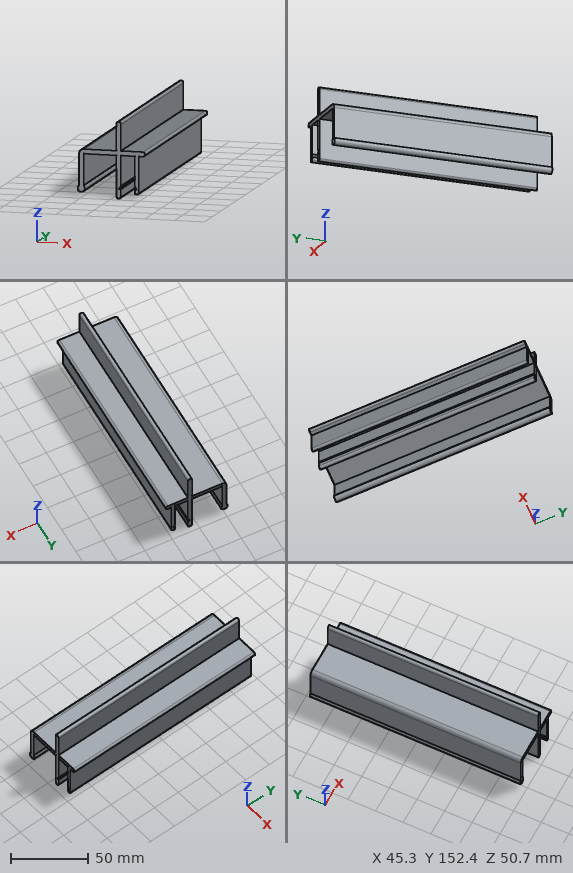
import cadquery as cq

length = 152.4
width = 45.3
height = 50.7

wall = 3.0
plate_top = 31.5
corner_radius = 3.0
bead_radius = 2.5
outer_leg_x = bead_radius
web_x = 27.6
short_leg_x = 39.8
short_leg_wall = 2.7
leg_bottom = 3.2

notch_bottom = 6.4
notch_height = 2.0
notch_depth = 1.4

plate_middle = plate_top - wall / 2
outer_leg_left = outer_leg_x - wall / 2


def bar(x_min, x_max, z_min, z_max):
    """Rectangular bar running the full length along Y, starting at Y = 0."""
    return cq.Workplane("XY").box(
        x_max - x_min, length, z_max - z_min, centered=False
    ).translate((x_min, 0, z_min))


def rod(x, z, radius):
    """Round rod running the full length along Y."""
    return cq.Workplane("XZ", origin=(x, 0, z)).circle(radius).extrude(-length)


def upright(x, thickness, z_min, z_max):
    """Vertical wall centred on x."""
    return bar(x - thickness / 2, x + thickness / 2, z_min, z_max)


def notch(face_x, inward):
    """Triangular groove with a flat floor; inward is the X direction into the wall."""
    return (
        cq.Workplane("XZ")
        .moveTo(face_x, notch_bottom)
        .lineTo(face_x + inward * notch_depth, notch_bottom)
        .lineTo(face_x, notch_bottom + notch_height)
        .close()
        .extrude(-length)
    )


edge_x = width - wall / 2
bead_z = leg_bottom + bead_radius
plate = bar(outer_leg_left, edge_x, plate_top - wall, plate_top)
outer_leg = upright(outer_leg_x, wall, bead_z, plate_top)
angle = plate.union(outer_leg).edges("|Y and <X and >Z").fillet(corner_radius)
angle = angle.union(rod(edge_x, plate_middle, wall / 2))
angle = angle.union(rod(outer_leg_x, bead_z, bead_radius))

web_radius = wall / 2
web = upright(web_x, wall, web_radius, height - web_radius)
for end_z in (web_radius, height - web_radius):
    web = web.union(rod(web_x, end_z, web_radius))
web = web.cut(notch(web_x + wall / 2, -1))

short_radius = short_leg_wall / 2
short_end_z = leg_bottom + short_radius
short_leg = upright(short_leg_x, short_leg_wall, short_end_z, plate_middle)
short_leg = short_leg.union(rod(short_leg_x, short_end_z, short_radius))
short_leg = short_leg.cut(notch(short_leg_x - short_leg_wall / 2, 1))

result = angle.union(web).union(short_leg)